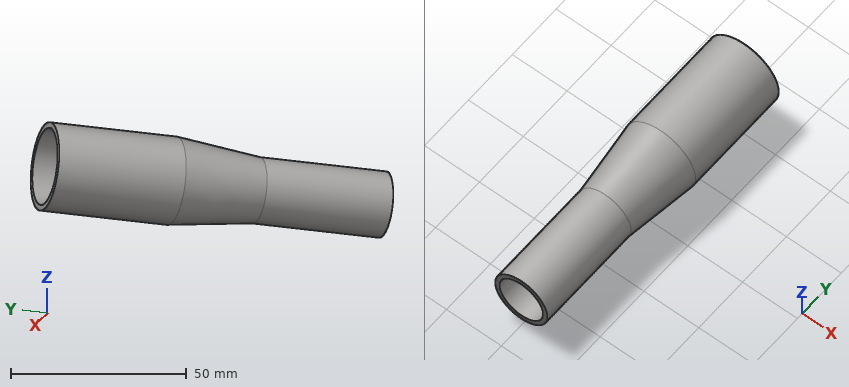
import cadquery as cq

total_length = 101.6
wide_diameter = 25.4
narrow_diameter = 19.1
wall = 1.6
straight_length = 38.1

wide_radius = wide_diameter / 2
narrow_radius = narrow_diameter / 2
taper_start = straight_length
taper_end = total_length - straight_length


def reducer_solid(inset):
    """Solid of revolution about Y with its radii reduced by inset."""
    narrow = narrow_radius - inset
    wide = wide_radius - inset
    profile = [
        (0, 0),
        (narrow, 0),
        (narrow, taper_start),
        (wide, taper_end),
        (wide, total_length),
        (0, total_length),
    ]
    return cq.Workplane("XY").polyline(profile).close().revolve(360, (0, 0, 0), (0, 1, 0))


result = reducer_solid(0).cut(reducer_solid(wall))